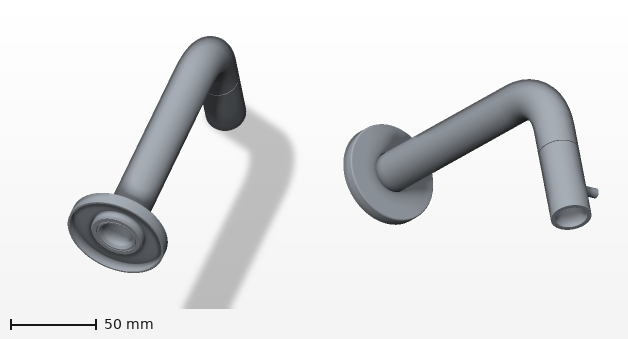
import cadquery as cq
import math

OVERALL_LENGTH = 196.7

TUBE_RADIUS = 12.0
BORE_RADIUS = 9.5
BORE_CHAMFER = 1.4
BEND_RADIUS = 40.0
BEND_ANGLE = 75.0
TUBE_INSET = 1.0

NECK_LENGTH = 17.5
OUTLET_LENGTH = 65.3
GROOVE_WIDTH = 0.5
GROOVE_DEPTH = 0.5

LEVER_RADIUS = 3.0
LEVER_REACH = 21.5
LEVER_CHAMFER = 0.4
LEVER_SWING = 4.2
LEVER_FROM_BEND = 42.5

FLANGE_RADIUS = 29.9
FLANGE_DEPTH = 8.0
FLANGE_FILLET = 1.0
RIM_FILLET = 0.4
RECESS_RADIUS = 28.5
CORNER_FILLET = 0.5
PLATE_THICKNESS = 2.0
BOSS_RADIUS = 16.0
BOSS_INSET = 1.0
BOSS_CHAMFER = 1.0
TUBE_CLEARANCE = 0.4

hole_radius = TUBE_RADIUS + TUBE_CLEARANCE
floor_depth = FLANGE_DEPTH - PLATE_THICKNESS
bend = math.radians(BEND_ANGLE)
bend_run = BEND_RADIUS * math.sin(bend)
bend_drop = BEND_RADIUS * (1 - math.cos(bend))
outlet_run = OUTLET_LENGTH * math.cos(bend) + TUBE_RADIUS * math.sin(bend)
bend_start = OVERALL_LENGTH - bend_run - outlet_run

head_plane = cq.Plane(
    origin=(0, bend_start + bend_run, -bend_drop),
    xDir=(1, 0, 0),
    normal=(0, math.cos(bend), -math.sin(bend)),
)


def bent_rod(radius):
    """Round bar along the arm: straight run, bend, then straight to the outlet."""
    straight = (
        cq.Workplane("XZ", origin=(0, TUBE_INSET, 0))
        .circle(radius)
        .extrude(-(bend_start - TUBE_INSET))
    )
    elbow = (
        cq.Workplane("XZ", origin=(0, bend_start, 0))
        .circle(radius)
        .revolve(BEND_ANGLE, (0, -BEND_RADIUS, 0), (-1, -BEND_RADIUS, 0))
    )
    outlet = cq.Workplane(head_plane).circle(radius).extrude(OUTLET_LENGTH)
    return straight.union(elbow).union(outlet)


def bore_mouth():
    """Cone that chamfers the open end of the bore."""
    return cq.Workplane(
        cq.Solid.makeCone(
            BORE_RADIUS + BORE_CHAMFER, BORE_RADIUS, BORE_CHAMFER,
            cq.Vector(0, TUBE_INSET, 0), cq.Vector(0, 1, 0),
        )
    )


def joint_groove():
    """Thin ring cut around the tube where the outlet head begins."""
    return (
        cq.Workplane(head_plane)
        .workplane(offset=NECK_LENGTH)
        .circle(TUBE_RADIUS + GROOVE_DEPTH)
        .circle(TUBE_RADIUS - GROOVE_DEPTH)
        .extrude(GROOVE_WIDTH)
    )


def lever():
    """Pin square to the head axis, swung slightly away from the wall."""
    swing = math.radians(LEVER_SWING)
    center = head_plane.toWorldCoords((0, 0, LEVER_FROM_BEND))
    direction = head_plane.xDir * -math.cos(swing) - head_plane.yDir * math.sin(swing)
    pin_plane = cq.Plane(origin=center, xDir=head_plane.zDir, normal=direction)
    return (
        cq.Workplane(pin_plane)
        .circle(LEVER_RADIUS)
        .extrude(LEVER_REACH)
        .faces(cq.selectors.DirectionMinMaxSelector(direction))
        .chamfer(LEVER_CHAMFER)
    )


def make_arm():
    """Bent tube with its outlet head and lever, bored from end to end."""
    solid_arm = bent_rod(TUBE_RADIUS).cut(joint_groove()).union(lever())
    return solid_arm.cut(bent_rod(BORE_RADIUS)).cut(bore_mouth())


def flange_boss():
    """Chamfered round boss that stands on the recess floor and stops short of the wall."""
    return (
        cq.Workplane("XZ", origin=(0, BOSS_INSET, 0))
        .circle(BOSS_RADIUS)
        .extrude(-(floor_depth - BOSS_INSET))
        .faces("<Y")
        .edges()
        .chamfer(BOSS_CHAMFER)
    )


def make_flange():
    """Round cup, open toward the wall, with a central boss around the tube."""
    disc = (
        cq.Workplane("XZ")
        .circle(FLANGE_RADIUS)
        .extrude(-FLANGE_DEPTH)
        .faces(">Y")
        .edges()
        .fillet(FLANGE_FILLET)
        .faces("<Y")
        .edges()
        .fillet(RIM_FILLET)
    )
    recess = (
        cq.Workplane("XZ")
        .circle(RECESS_RADIUS)
        .extrude(-floor_depth)
        .cut(flange_boss())
        .faces(">Y")
        .edges()
        .fillet(CORNER_FILLET)
    )
    hole = cq.Workplane("XZ").circle(hole_radius).extrude(-FLANGE_DEPTH)
    return disc.cut(recess).cut(hole)


arm = make_arm()
flange = make_flange()

result = cq.Compound.makeCompound([arm.val(), flange.val()])